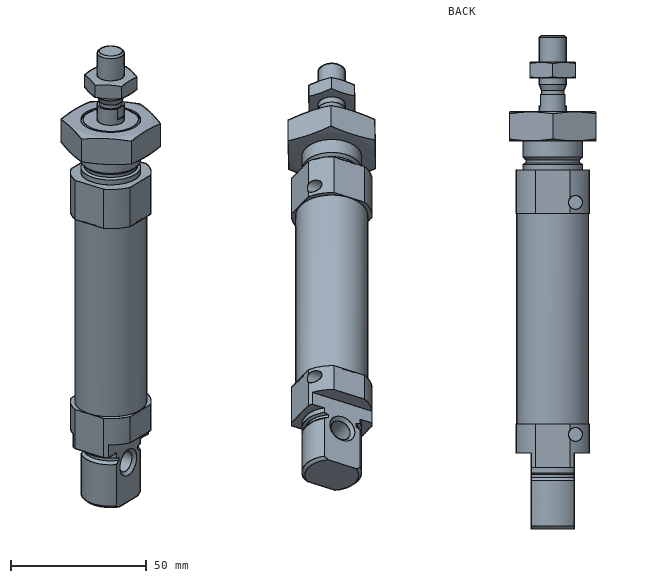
import cadquery as cq
import math

TOTAL_HEIGHT = 181.5
REAR_HEAD_BOTTOM = 22.7
CLEVIS_SHOULDER = 28.0
REAR_HEAD_TOP = 38.7
FRONT_HEAD_BOTTOM = 116.2
FRONT_HEAD_TOP = 132.1
NECK_TOP = 153.5

HEAD_DIAMETER = 29.8
HEAD_ACROSS_FLATS = 26.9
BARREL_DIAMETER = 26.5
NECK_DIAMETER = 22.0
NECK_CHAMFER = 0.82
CLEVIS_WIDTH = 16.0
CLEVIS_CHAMFER = 1.0
PIVOT_HEIGHT = 16.0
PIVOT_DIAMETER = 8.0
PIVOT_CHAMFER = 1.3

UNDERCUT_DIAMETER = 19.8
COLLAR_LENGTH = 2.0
UNDERCUT_LENGTH = 2.7

PORT_DIAMETER = 5.0
PORT_OFFSET = 8.3
PORT_DEPTH = 7.3
FRONT_PORT_HEIGHT = 120.2
REAR_PORT_HEIGHT = 34.8

ROD_DIAMETER = 10.0
ROD_TIP_CHAMFER = 0.7
ROD_RELIEF_DIAMETER = 8.3
RELIEF_BOTTOM = 159.9
RELIEF_TAPER_BOTTOM = 161.4
RELIEF_TOP = 163.5
ROD_ACROSS_FLATS = 9.0
ROD_FLAT_BOTTOM = 155.5

HEAD_NUT_ACROSS_FLATS = 32.0
HEAD_NUT_THICKNESS = 10.9
ROD_NUT_ACROSS_FLATS = 16.9
ROD_NUT_THICKNESS = 5.8
ROD_NUT_BOTTOM = 165.9
NUT_FACE_RATIO = 0.96
NUT_CHAMFER_ANGLE = 15.0


def cylinder(diameter, bottom, top):
    return cq.Workplane("XY").workplane(offset=bottom).circle(diameter / 2).extrude(top - bottom)


def side_cuts(across_flats, bottom, top, angle=0):
    """Two blocks that leave a pair of flats facing along X, turned about Z by the angle."""
    block_size = 2 * HEAD_DIAMETER
    blocks = (
        cq.Workplane("XY")
        .workplane(offset=bottom)
        .pushPoints([(side * (across_flats + block_size) / 2, 0) for side in (-1, 1)])
        .rect(block_size, block_size)
        .extrude(top - bottom)
    )
    return blocks.rotate((0, 0, 0), (0, 0, 1), angle)


def make_head(bottom, top):
    """Round end cap with four flats."""
    head = cylinder(HEAD_DIAMETER, bottom, top)
    for angle in (0, 90):
        head = head.cut(side_cuts(HEAD_ACROSS_FLATS, bottom, top, angle))
    return head


def make_stub(length, end_chamfer):
    """Stub from Z = 0 upwards: collar, undercut with sloped sides, then the chamfered main length."""
    outer = NECK_DIAMETER / 2
    inner = UNDERCUT_DIAMETER / 2
    slope = outer - inner
    undercut_end = COLLAR_LENGTH + UNDERCUT_LENGTH
    profile = [
        (0, 0),
        (outer, 0),
        (outer, COLLAR_LENGTH),
        (inner, COLLAR_LENGTH + slope / 2),
        (inner, undercut_end - slope),
        (outer, undercut_end),
        (outer, length - end_chamfer),
        (outer - end_chamfer, length),
        (0, length),
    ]
    return cq.Workplane("XZ").polyline(profile).close().revolve(360, (0, 0), (0, 1))


def make_pivot_hole():
    """Through hole along X, countersunk at both clevis faces."""
    half_width = CLEVIS_WIDTH / 2
    inner = PIVOT_DIAMETER / 2
    outer = inner + PIVOT_CHAMFER
    profile = [
        (-half_width, 0),
        (-half_width, outer),
        (-half_width + PIVOT_CHAMFER, inner),
        (half_width - PIVOT_CHAMFER, inner),
        (half_width, outer),
        (half_width, 0),
    ]
    hole = cq.Workplane("XY").polyline(profile).close().revolve(360, (0, 0), (1, 0))
    return hole.translate((0, 0, PIVOT_HEIGHT))


def make_port(height):
    """Blind hole along Y, breaking out through the edge of the +Y flat."""
    return (
        cq.Workplane("XZ", origin=(-PORT_OFFSET, HEAD_ACROSS_FLATS / 2, height))
        .circle(PORT_DIAMETER / 2)
        .extrude(PORT_DEPTH)
    )


def make_housing():
    neck = make_stub(NECK_TOP - FRONT_HEAD_TOP, NECK_CHAMFER).translate((0, 0, FRONT_HEAD_TOP))
    clevis = (
        make_stub(REAR_HEAD_BOTTOM, CLEVIS_CHAMFER)
        .rotate((0, 0, 0), (1, 0, 0), 180)
        .translate((0, 0, REAR_HEAD_BOTTOM))
    )
    housing = (
        cylinder(BARREL_DIAMETER, REAR_HEAD_TOP, FRONT_HEAD_BOTTOM)
        .union(make_head(REAR_HEAD_BOTTOM, REAR_HEAD_TOP))
        .union(make_head(FRONT_HEAD_BOTTOM, FRONT_HEAD_TOP))
        .union(neck)
        .union(clevis)
        .cut(side_cuts(CLEVIS_WIDTH, 0, CLEVIS_SHOULDER))
        .cut(make_pivot_hole())
        .cut(cylinder(ROD_DIAMETER, FRONT_HEAD_BOTTOM, NECK_TOP))
    )
    for height in (FRONT_PORT_HEIGHT, REAR_PORT_HEIGHT):
        housing = housing.cut(make_port(height))
    return housing


def make_piston_rod():
    outer = ROD_DIAMETER / 2
    relief = ROD_RELIEF_DIAMETER / 2
    profile = [
        (0, FRONT_HEAD_BOTTOM),
        (outer, FRONT_HEAD_BOTTOM),
        (outer, RELIEF_BOTTOM),
        (relief, RELIEF_BOTTOM),
        (relief, RELIEF_TAPER_BOTTOM),
        (outer, RELIEF_TOP),
        (outer, TOTAL_HEIGHT - ROD_TIP_CHAMFER),
        (outer - ROD_TIP_CHAMFER, TOTAL_HEIGHT),
        (0, TOTAL_HEIGHT),
    ]
    rod = cq.Workplane("XZ").polyline(profile).close().revolve(360, (0, 0), (0, 1))
    return rod.cut(side_cuts(ROD_ACROSS_FLATS, ROD_FLAT_BOTTOM, RELIEF_BOTTOM))


def make_nut(across_flats, thickness, bottom, bore_diameter):
    """Hexagon nut with flats facing along X and corners chamfered on both faces."""
    corner = across_flats / math.sqrt(3)
    face = NUT_FACE_RATIO * across_flats / 2
    drop = (corner - face) * math.tan(math.radians(NUT_CHAMFER_ANGLE))
    envelope_profile = [
        (0, 0),
        (face, 0),
        (corner, drop),
        (corner, thickness - drop),
        (face, thickness),
        (0, thickness),
    ]
    envelope = cq.Workplane("XZ").polyline(envelope_profile).close().revolve(360, (0, 0), (0, 1))
    hexagon = (
        cq.Workplane("XY")
        .polygon(6, 2 * corner)
        .extrude(thickness)
        .rotate((0, 0, 0), (0, 0, 1), 30)
    )
    nut = hexagon.intersect(envelope).cut(cylinder(bore_diameter, 0, thickness))
    return nut.translate((0, 0, bottom))


housing = make_housing()
piston_rod = make_piston_rod()
head_nut = make_nut(HEAD_NUT_ACROSS_FLATS, HEAD_NUT_THICKNESS, NECK_TOP - HEAD_NUT_THICKNESS, NECK_DIAMETER)
rod_nut = make_nut(ROD_NUT_ACROSS_FLATS, ROD_NUT_THICKNESS, ROD_NUT_BOTTOM, ROD_DIAMETER)

result = cq.Compound.makeCompound([housing.val(), piston_rod.val(), head_nut.val(), rod_nut.val()])